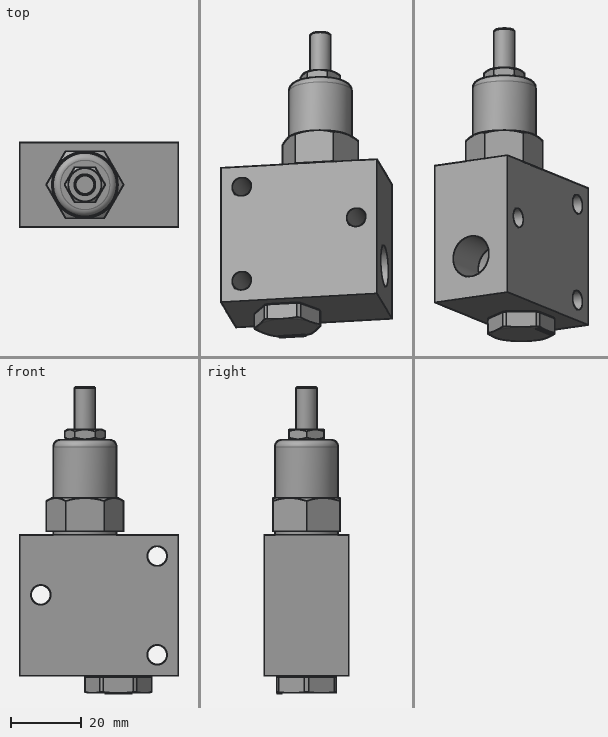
import cadquery as cq
import math

HEX_SIDES = 6

BLOCK_LENGTH = 45.0
BLOCK_WIDTH = 24.0
BLOCK_HEIGHT = 40.0

MOUNT_HOLE_DIAMETER = 5.5
MOUNT_HOLE_INSET = 6.0
MIDDLE_HOLE_DEPTH = 17.0

PORT_DIAMETER = 11.8
PORT_DEPTH = 14.0
PORT_HEIGHT = 12.0
DRILL_POINT_ANGLE = 118.0

CARTRIDGE_X = 18.5
BARREL_DIAMETER = 18.0
BARREL_TOP = 27.0
BARREL_ROUND = 2.0
COLLAR_HEIGHT = 1.0
CARTRIDGE_HEX_FLATS = 19.0
CARTRIDGE_HEX_TOP = 10.5
CARTRIDGE_HEX_FACE = 18.8

HEX_CHAMFER_ANGLE = 30.0

NUT_FLATS = 10.0
NUT_HEIGHT = 3.0
NUT_FACE = 9.4

STEM_DIAMETER = 6.0
STEM_TOP = 42.0
STEM_CHAMFER = 0.4

PLUG_X = 28.0
PLUG_FLATS = 17.0
PLUG_CORNER_DIAMETER = 19.0
PLUG_HEIGHT = 4.8
PLUG_FACE = PLUG_FLATS
PLUG_TOP_CHAMFER = 0.4
PLUG_CHAMFER_ANGLE = 15.0

BAR_LENGTH = 7.5
BAR_WIDTH = 1.3
BAR_CENTRE_Y = -7.65
BAR_RISE = 0.2


def hexagon(flats, height):
    """Upright hexagonal prism standing on Z = 0, with two corners on the X axis."""
    corner_diameter = flats / math.cos(math.pi / HEX_SIDES)
    return cq.Workplane("XY").polygon(HEX_SIDES, corner_diameter).extrude(height)


def chamfer_cone(flats, height, face_diameter, angle):
    """Turned blank of the given height whose top narrows to the face diameter at the given angle."""
    outer_radius = flats
    face_radius = face_diameter / 2
    drop = (outer_radius - face_radius) * math.tan(math.radians(angle))
    cone_base = height - drop
    return (
        cq.Workplane("XZ")
        .moveTo(0, -height)
        .lineTo(outer_radius, -height)
        .lineTo(outer_radius, cone_base)
        .lineTo(face_radius, height)
        .lineTo(0, height)
        .close()
        .revolve(360, (0, 0), (0, 1))
    )


def make_block():
    block = cq.Workplane("XY").box(
        BLOCK_LENGTH, BLOCK_WIDTH, BLOCK_HEIGHT, centered=(False, True, False)
    ).translate((0, 0, -BLOCK_HEIGHT))

    far_x = BLOCK_LENGTH - MOUNT_HOLE_INSET
    hole_centres = [
        (MOUNT_HOLE_INSET, -MIDDLE_HOLE_DEPTH),
        (far_x, -MOUNT_HOLE_INSET),
        (far_x, MOUNT_HOLE_INSET - BLOCK_HEIGHT),
    ]
    mount_holes = (
        cq.Workplane("XZ")
        .pushPoints(hole_centres)
        .circle(MOUNT_HOLE_DIAMETER / 2)
        .extrude(BLOCK_WIDTH / 2, both=True)
    )
    return block.cut(mount_holes).cut(make_port())


def make_port():
    """Drilled shape of the port: a cylinder along X ending in a cone."""
    radius = PORT_DIAMETER / 2
    point_length = radius / math.tan(math.radians(DRILL_POINT_ANGLE / 2))
    profile = (
        cq.Workplane("XY")
        .lineTo(0, radius)
        .lineTo(PORT_DEPTH, radius)
        .lineTo(PORT_DEPTH + point_length, 0)
        .close()
    )
    drill = profile.revolve(360, (0, 0), (1, 0))
    return drill.translate((0, 0, PORT_HEIGHT - BLOCK_HEIGHT))


def make_cartridge():
    barrel = (
        cq.Workplane("XY")
        .circle(BARREL_DIAMETER / 2)
        .extrude(BARREL_TOP)
        .faces(">Z").edges().fillet(BARREL_ROUND)
    )
    hex_height = CARTRIDGE_HEX_TOP - COLLAR_HEIGHT
    hex_blank = chamfer_cone(CARTRIDGE_HEX_FLATS, hex_height, CARTRIDGE_HEX_FACE, HEX_CHAMFER_ANGLE)
    hex_section = hexagon(CARTRIDGE_HEX_FLATS, hex_height).intersect(hex_blank)
    cartridge = barrel.union(hex_section.translate((0, 0, COLLAR_HEIGHT)))
    return cartridge.translate((CARTRIDGE_X, 0, 0))


def make_lock_nut():
    top_blank = chamfer_cone(NUT_FLATS, NUT_HEIGHT, NUT_FACE, HEX_CHAMFER_ANGLE)
    bottom_blank = top_blank.mirror("XY").translate((0, 0, NUT_HEIGHT))
    bore = cq.Workplane("XY").circle(STEM_DIAMETER / 2).extrude(NUT_HEIGHT)
    nut = hexagon(NUT_FLATS, NUT_HEIGHT).intersect(top_blank).intersect(bottom_blank).cut(bore)
    return nut.translate((CARTRIDGE_X, 0, BARREL_TOP))


def make_stem():
    stem = (
        cq.Workplane("XY")
        .circle(STEM_DIAMETER / 2)
        .extrude(STEM_TOP - BARREL_TOP)
        .faces(">Z").chamfer(STEM_CHAMFER)
    )
    return stem.translate((CARTRIDGE_X, 0, BARREL_TOP))


def make_plug():
    """Plug shaped upright on Z = 0, then turned over to hang below the block."""
    turned_corners = cq.Workplane("XY").circle(PLUG_CORNER_DIAMETER / 2).extrude(PLUG_HEIGHT)
    plug = (
        hexagon(PLUG_FLATS, PLUG_HEIGHT)
        .intersect(turned_corners)
        .faces("<Z").chamfer(PLUG_TOP_CHAMFER)
    )
    outer_blank = chamfer_cone(PLUG_FLATS, PLUG_HEIGHT, PLUG_FACE, PLUG_CHAMFER_ANGLE)
    bar = (
        cq.Workplane("XY")
        .center(0, BAR_CENTRE_Y)
        .rect(BAR_LENGTH, BAR_WIDTH)
        .extrude(PLUG_HEIGHT / 2 + BAR_RISE)
        .translate((0, 0, PLUG_HEIGHT / 2))
    )
    plug = plug.intersect(outer_blank).union(bar).mirror("XY")
    return plug.translate((PLUG_X, 0, -BLOCK_HEIGHT))


block = make_block()
cartridge = make_cartridge()
lock_nut = make_lock_nut()
stem = make_stem()
plug = make_plug()

result = cq.Compound.makeCompound(
    [block.val(), cartridge.val(), lock_nut.val(), stem.val(), plug.val()]
)